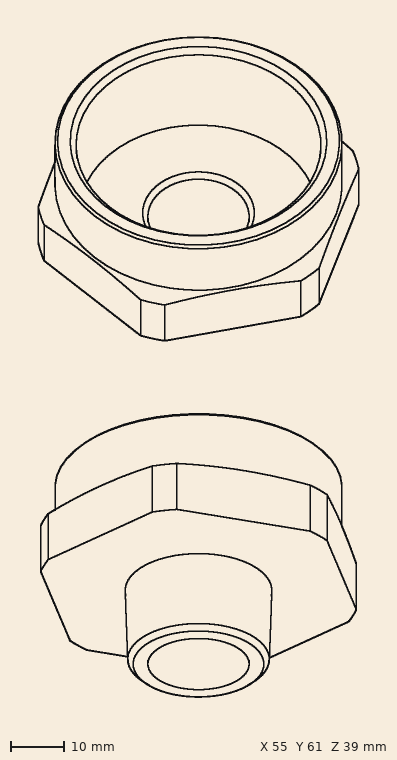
import cadquery as cq
import math

hex_bottom = 16.0
hex_top = 26.95
total_height = 39.0
socket_floor = 19.0

across_flats = 55.0
corner_radius = 30.5
hex_chamfer_drop = 1.0

collar_radius = 26.95
collar_chamfer = 0.5
socket_mouth_radius = 24.1
socket_chamfer = 1.1

spigot_root_radius = 13.8
spigot_chamfer = 1.05
bore_radius = 9.5
bore_chamfer = 1.0
taper = 1 / 32


def revolve(profile):
    """Revolve a closed (radius, z) outline about the Z axis."""
    return cq.Workplane("XZ").polyline(profile).close().revolve(360, (0, 0), (0, 1))


def make_hexagon():
    """Hexagon with flats facing X, rounded corners and a sloped upper rim."""
    prism = (
        cq.Workplane("XY", origin=(0, 0, hex_bottom))
        .polygon(6, across_flats / math.cos(math.pi / 6))
        .extrude(hex_top - hex_bottom)
        .rotate((0, 0, 0), (0, 0, 1), 30)
    )
    envelope = revolve([
        (0, hex_bottom),
        (corner_radius, hex_bottom),
        (corner_radius, hex_top - hex_chamfer_drop),
        (collar_radius, hex_top),
        (0, hex_top),
    ])
    return prism.intersect(envelope)


def make_collar():
    return revolve([
        (0, hex_bottom),
        (collar_radius, hex_bottom),
        (collar_radius, total_height - collar_chamfer),
        (collar_radius - collar_chamfer, total_height),
        (0, total_height),
    ])


def make_spigot():
    tip_radius = spigot_root_radius - taper * (hex_bottom - spigot_chamfer)
    return revolve([
        (0, 0),
        (tip_radius - spigot_chamfer, 0),
        (tip_radius, spigot_chamfer),
        (spigot_root_radius, hex_bottom),
        (0, hex_bottom),
    ])


def make_cavity():
    """Chamfered tapered socket opening into the chamfered through bore."""
    throat_radius = socket_mouth_radius - socket_chamfer
    throat_level = total_height - socket_chamfer
    floor_radius = throat_radius - taper * (throat_level - socket_floor)
    return revolve([
        (0, 0),
        (bore_radius, 0),
        (bore_radius, socket_floor - bore_chamfer),
        (bore_radius + bore_chamfer, socket_floor),
        (floor_radius, socket_floor),
        (throat_radius, throat_level),
        (socket_mouth_radius, total_height),
        (0, total_height),
    ])


result = make_hexagon().union(make_collar()).union(make_spigot()).cut(make_cavity())